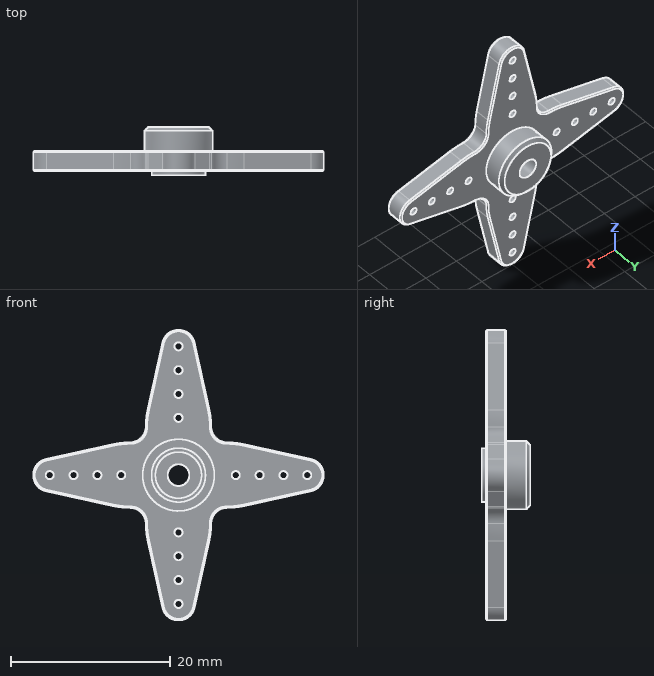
import cadquery as cq
import math

SPAN = 36.48
ARM_COUNT = 4
ARM_ANGLE = 2 * math.pi / ARM_COUNT
PLATE_THICKNESS = 2.6
PLATE_EDGE_CHAMFER = 0.2

TIP_RADIUS = 2.08
ROOT_HALF_WIDTH = 4.12
SHOULDER_RADIUS = 10.0
CORNER_RADIUS = 1.95
TIP_CENTER = SPAN / 2 - TIP_RADIUS
ROOT_END = ROOT_HALF_WIDTH + CORNER_RADIUS

LINK_HOLE_DIAMETER = 1.0
LINK_HOLE_PITCH = 3.0
LINK_HOLES_PER_ARM = 4

HUB_DIAMETER = 8.6
HUB_HEIGHT = 3.0
HUB_CHAMFER = 0.5
RIM_DIAMETER = 6.8
RIM_HEIGHT = 0.5
GROOVE_DIAMETER = 9.0
GROOVE_DEPTH = 0.5
SCREW_SEAT_DIAMETER = 5.8
SCREW_HOLE_DIAMETER = 2.7


def disc(diameter, y_start, y_end):
    """Cylinder on the shaft axis between two Y positions."""
    return (
        cq.Workplane("XZ", origin=(0, y_start, 0))
        .circle(diameter / 2)
        .extrude(y_start - y_end)
    )


def turned(point, angle):
    """Rotate an in-plane point about the shaft axis by an angle in radians."""
    x, z = point
    return (
        x * math.cos(angle) - z * math.sin(angle),
        x * math.sin(angle) + z * math.cos(angle),
    )


def on_circle(center, radius, angle):
    """Point on an in-plane circle at an angle in radians from +X."""
    return (center[0] + radius * math.cos(angle), center[1] + radius * math.sin(angle))


def mirrored(point):
    """Reflect an in-plane point across the center line of the arm along +X."""
    return (point[0], -point[1])


def plate():
    """Cross-shaped plate: tapered arms joined by shoulder arcs and rounded inner corners."""
    tip = (TIP_CENTER, 0)
    shoulder = (ROOT_END, ROOT_HALF_WIDTH - SHOULDER_RADIUS)
    corner = (ROOT_END, ROOT_END)

    run = tip[0] - shoulder[0]
    rise = tip[1] - shoulder[1]
    center_line_angle = math.atan2(rise, run)
    side_normal = center_line_angle + math.acos((SHOULDER_RADIUS - TIP_RADIUS) / math.hypot(run, rise))
    shoulder_middle = (side_normal + math.pi / 2) / 2

    tip_upper = on_circle(tip, TIP_RADIUS, side_normal)
    tip_end = (SPAN / 2, 0)
    side_inner = on_circle(shoulder, SHOULDER_RADIUS, side_normal)
    shoulder_upper = on_circle(shoulder, SHOULDER_RADIUS, shoulder_middle)
    root_upper = (ROOT_END, ROOT_HALF_WIDTH)
    corner_middle = on_circle(corner, CORNER_RADIUS, 5 * math.pi / 4)
    next_root = (ROOT_HALF_WIDTH, ROOT_END)

    outline = cq.Workplane("XZ").moveTo(*mirrored(root_upper))
    for arm in range(ARM_COUNT):
        angle = arm * ARM_ANGLE
        outline = (
            outline
            .threePointArc(turned(mirrored(shoulder_upper), angle), turned(mirrored(side_inner), angle))
            .lineTo(*turned(mirrored(tip_upper), angle))
            .threePointArc(turned(tip_end, angle), turned(tip_upper, angle))
            .lineTo(*turned(side_inner, angle))
            .threePointArc(turned(shoulder_upper, angle), turned(root_upper, angle))
            .threePointArc(turned(corner_middle, angle), turned(next_root, angle))
        )
    return outline.close().extrude(-PLATE_THICKNESS).faces("<Y or >Y").chamfer(PLATE_EDGE_CHAMFER)


def link_holes():
    """Pins that cut the row of linkage holes in every arm."""
    centers = [
        turned((TIP_CENTER - step * LINK_HOLE_PITCH, 0), arm * ARM_ANGLE)
        for arm in range(ARM_COUNT)
        for step in range(LINK_HOLES_PER_ARM)
    ]
    return (
        cq.Workplane("XZ")
        .pushPoints(centers)
        .circle(LINK_HOLE_DIAMETER / 2)
        .extrude(-PLATE_THICKNESS)
    )


hub_back = PLATE_THICKNESS + HUB_HEIGHT
hub = disc(HUB_DIAMETER, PLATE_THICKNESS, hub_back).faces(">Y").chamfer(HUB_CHAMFER)

groove = disc(GROOVE_DIAMETER, 0, GROOVE_DEPTH)
rim = disc(RIM_DIAMETER, -RIM_HEIGHT, GROOVE_DEPTH)
screw_seat = disc(SCREW_SEAT_DIAMETER, -RIM_HEIGHT, GROOVE_DEPTH)
screw_hole = disc(SCREW_HOLE_DIAMETER, 0, hub_back)

result = (
    plate()
    .cut(link_holes())
    .cut(groove)
    .union(rim)
    .union(hub)
    .cut(screw_seat)
    .cut(screw_hole)
)